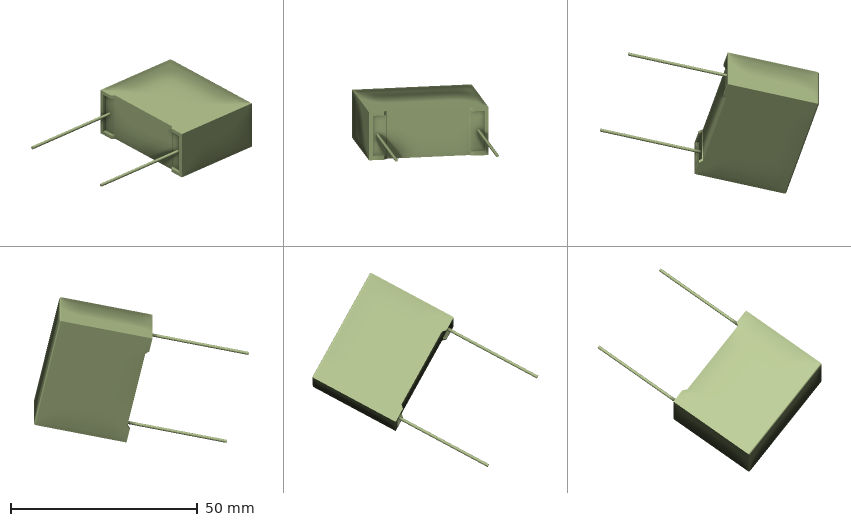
import cadquery as cq


total_length = 52.3
case_width = 32.5
case_height = 13.3
lead_reach = 26.9
case_depth = total_length - lead_reach

wall = 1.05
back_edge_radius = 0.4
foot_width = 4.1
foot_height = 0.9
foot_slope = foot_height

pocket_width = 3.7
pocket_recess = 0.95

lead_pitch = 27.45
lead_diameter = 0.85

half_width = case_width / 2
cavity_width = case_width - 2 * wall
cavity_height = case_height - 2 * wall
core_front = foot_height + wall
core_back = case_depth - wall
pocket_center = half_width - wall - pocket_width / 2
sides = (-1, 1)


def block(width, height, y_start, y_end, x_center=0):
    """Box centred on Z = 0 that runs from y_start to y_end."""
    return (
        cq.Workplane("XY")
        .box(width, y_end - y_start, height)
        .translate((x_center, (y_start + y_end) / 2, 0))
    )


def make_core():
    """Resin core with a stub that fills the bottom of each pocket."""
    core = block(cavity_width, cavity_height, core_front, core_back)
    for side in sides:
        stub = block(pocket_width, cavity_height, pocket_recess, core_front, side * pocket_center)
        core = core.union(stub)
    return core


def make_case(core):
    """Case on two feet, rounded at the back, with pockets open to the core."""
    foot_edge = half_width - foot_width
    slope_top = foot_edge - foot_slope
    outline = [
        (-half_width, case_depth),
        (-half_width, 0),
        (-foot_edge, 0),
        (-slope_top, foot_height),
        (slope_top, foot_height),
        (foot_edge, 0),
        (half_width, 0),
        (half_width, case_depth),
    ]
    case = (
        cq.Workplane("XY")
        .polyline(outline)
        .close()
        .extrude(case_height / 2, both=True)
        .faces(">Y")
        .edges()
        .fillet(back_edge_radius)
    )
    for side in sides:
        pocket = block(pocket_width, cavity_height, 0, pocket_recess, side * pocket_center)
        case = case.cut(pocket)
    return case.cut(core)


def make_lead(x_center):
    """Round wire from the resin surface to the lead tip."""
    return (
        cq.Workplane("XZ", origin=(x_center, pocket_recess, 0))
        .circle(lead_diameter / 2)
        .extrude(lead_reach + pocket_recess)
    )


core = make_core()
case = make_case(core)
leads = [make_lead(side * lead_pitch / 2) for side in sides]

result = cq.Compound.makeCompound([case.val(), core.val(), *[lead.val() for lead in leads]])